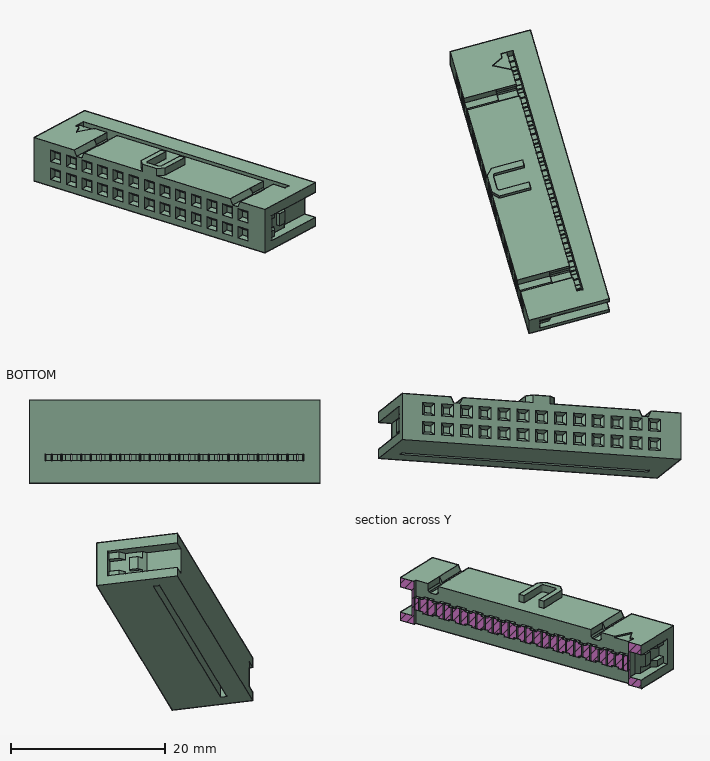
import cadquery as cq
length = 37.6
depth = 10.8
body_height = 6.15
overall_height = 7.2

columns = 13
rows = 2
row_span = 30.5
pitch = row_span / (columns - 1)
opening_width = 1.6
opening_floor_width = 0.83
opening_depth = 0.4
opening_middle_z = 3.05

key_width = 3.87
key_length = 5.0
key_wall = 0.8
key_fillet = 0.25

groove_positions = [-4.5 * pitch, 5.5 * pitch]
groove_top_width = 1.6
groove_floor_width = 0.83
groove_depth = 0.8
groove_front_length = 4.32
groove_wall_depth = 0.9
groove_outer_facet_drop = 0.23
groove_inner_facet_drop = 0.1

slot_length = 33.43
slot_width = 0.83
slot_center_x = -0.05
slot_front_y = 7.05
slot_back_y = slot_front_y + slot_width
blade_pitch = pitch / 2
blade_count = rows * columns
blade_gap = 0.15
comb_end_clearance = 0.1
wide_blade_width = 1.5
blade_bottom = 1.88
blade_top = 4.15
blade_step = 0.23

top_wall = 1.4
bottom_wall = 1.25
front_wall = 1.45
recess_bottom = bottom_wall
recess_top = body_height - top_wall
recess_middle = (recess_bottom + recess_top) / 2
recess_depth = 1.75

arm_depth = 1.28
arm_back_y = 6.28
arm_slope_end_y = arm_back_y - (recess_depth - arm_depth)
shoulder_depth = 0.6
shoulder_front_y = 2.85
shoulder_back_y = shoulder_front_y + arm_depth - shoulder_depth
latch_depth = 0.8
latch_height = 1.73
latch_front_y = 4.17
latch_back_y = arm_back_y - (recess_depth - latch_depth)

mark_depth = 0.2
mark_foot_width = 0.53
mark_foot_length = 0.8
mark_tip_offset = 1.25
mark_length = 2.25
mark_width = 2.45


def block(x_range, y_range, z_range):
    """Box between two limits on each axis."""
    size = [high - low for low, high in (x_range, y_range, z_range)]
    corner = (x_range[0], y_range[0], z_range[0])
    return cq.Workplane("XY").box(*size, centered=False).translate(corner)


def extrude_along_y(points, y_start, y_end):
    """Prism with an (x, z) outline between two Y positions."""
    plane = cq.Workplane("XZ", origin=(0, y_start, 0))
    return plane.polyline(points).close().extrude(y_start - y_end)


def extrude_along_z(points, z_start, z_end):
    """Prism with an (x, y) outline between two Z positions."""
    plane = cq.Workplane("XY").workplane(offset=z_start)
    return plane.polyline(points).close().extrude(z_end - z_start)


def make_key():
    half = key_width / 2
    outline = [
        (-half, key_length),
        (-half, key_wall),
        (-half + key_wall, 0),
        (half - key_wall, 0),
        (half, key_wall),
        (half, key_length),
    ]
    key = extrude_along_z(outline, body_height, overall_height)
    inner_half = half - key_wall
    channel = block((-inner_half, inner_half), (key_wall, key_length), (body_height, overall_height))
    return key.cut(channel.edges("|Z and <Y").fillet(key_fillet))


def make_openings():
    """Square openings tapering to a flat floor, in two rows."""
    face = cq.Workplane("XZ", origin=(0, 0, opening_middle_z))
    centers = face.rarray(pitch, pitch, columns, rows).vals()
    opening = (
        cq.Workplane("XZ")
        .rect(opening_width, opening_width)
        .workplane(offset=-opening_depth)
        .rect(opening_floor_width, opening_floor_width)
        .loft(ruled=True)
        .val()
    )
    solids = [opening.moved(center) for center in centers]
    return cq.Workplane(cq.Compound.makeCompound(solids))


def make_groove(center_x):
    """Tapered groove at the front, with a steep-sided, faceted bottom further back."""
    half_top = groove_top_width / 2
    half_floor = groove_floor_width / 2
    facet_width = (half_top - half_floor) / 2
    floor_z = body_height - groove_depth
    front = [
        (-half_top, body_height),
        (-half_floor, floor_z),
        (half_floor, floor_z),
        (half_top, body_height),
    ]
    wall_end_z = body_height - groove_wall_depth
    facet_z = wall_end_z - groove_outer_facet_drop
    lowest_z = facet_z - groove_inner_facet_drop
    right_side = [
        (half_floor, lowest_z),
        (half_floor + facet_width, facet_z),
        (half_top, wall_end_z),
        (half_top, body_height),
    ]
    left_side = [(-x, z) for x, z in reversed(right_side)]
    groove = extrude_along_y(front, 0, groove_front_length).union(
        extrude_along_y(left_side + right_side, groove_front_length, slot_front_y)
    )
    return groove.translate((center_x, 0, 0))


def make_cable_slot():
    half = slot_length / 2
    slot = block((-half, half), (slot_front_y, slot_back_y), (0, body_height))
    return slot.translate((slot_center_x, 0, 0))


def make_blades():
    """Comb split by narrow gaps, with every other fork wider and taller than the comb."""
    y_range = (slot_front_y, slot_back_y)
    half = slot_length / 2 - comb_end_clearance
    blades = block((-half, half), y_range, (blade_bottom + blade_step, blade_top - blade_step))
    gap_positions = [(i - (blade_count - 1) / 2) * blade_pitch for i in range(blade_count)]
    for x in gap_positions[::2]:
        x_range = (x - wide_blade_width / 2, x + wide_blade_width / 2)
        blades = blades.union(block(x_range, y_range, (blade_bottom, blade_top)))
    for x in gap_positions:
        x_range = (x - blade_gap / 2, x + blade_gap / 2)
        blades = blades.cut(block(x_range, y_range, (0, body_height)))
    return blades.translate((slot_center_x, 0, 0))


def make_end_recess():
    """Recess in the -X end, leaving the side of the latching arm in it."""
    end_x = -length / 2
    arm_profile = [
        (end_x, depth),
        (end_x + recess_depth, depth),
        (end_x + recess_depth, arm_back_y),
        (end_x + arm_depth, arm_slope_end_y),
        (end_x + arm_depth, shoulder_back_y),
        (end_x + shoulder_depth, shoulder_front_y),
        (end_x + shoulder_depth, front_wall),
        (end_x, front_wall),
    ]
    recess = extrude_along_z(arm_profile, recess_bottom, recess_top)

    latch_bottom = recess_middle - latch_height / 2
    latch_top = recess_middle + latch_height / 2
    window = block(
        (end_x, end_x + arm_depth), (front_wall, shoulder_back_y), (latch_bottom, latch_top)
    )
    latch_profile = [
        (end_x + recess_depth, arm_back_y),
        (end_x + latch_depth, latch_back_y),
        (end_x + latch_depth, latch_front_y),
        (end_x + recess_depth, latch_front_y),
    ]
    latch = extrude_along_z(latch_profile, latch_bottom, latch_top)
    return recess.union(window).cut(latch)


def make_pin_one_mark():
    left = slot_center_x - slot_length / 2
    outline = [
        (left, slot_front_y),
        (left, slot_front_y - mark_foot_length),
        (left + mark_foot_width, slot_front_y - mark_foot_length),
        (left + mark_tip_offset, slot_front_y - mark_length),
        (left + mark_width, slot_front_y),
    ]
    return extrude_along_z(outline, body_height - mark_depth, body_height)


body = block((-length / 2, length / 2), (0, depth), (0, body_height))
body = body.union(make_key())
body = body.cut(make_openings())
for groove_x in groove_positions:
    body = body.cut(make_groove(groove_x))
body = body.cut(make_pin_one_mark())
body = body.cut(make_cable_slot()).union(make_blades())
end_recess = make_end_recess()
body = body.cut(end_recess).cut(end_recess.mirror("YZ"))

result = body